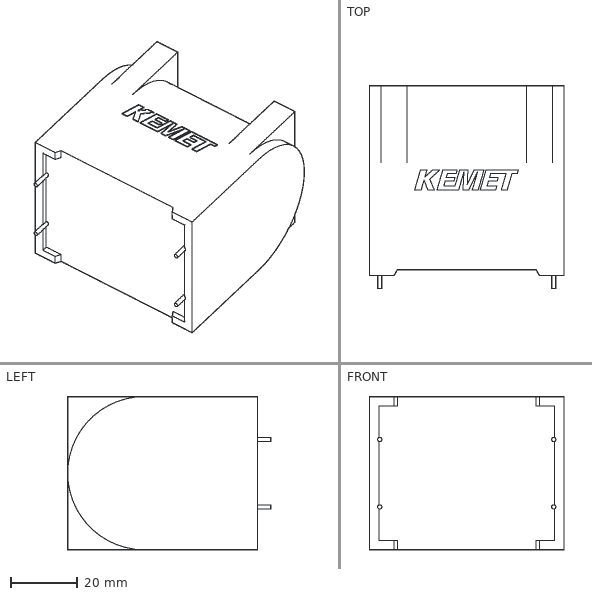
import cadquery as cq
case_width = 58.7
case_length = 57.2
case_height = 46.2
barrel_radius = case_height / 2

rib_offset = 3.55
rib_width = 7.8

frame_wall = 2.9
foot_tip_width = 7.45
foot_root_width = 8.45
standoff = 1.7

pin_diameter = 1.3
pin_length = 4.0
pin_spacing_x = 52.45
pin_spacing_z = 20.3

inlay_depth = 0.3
inlay_y = 25.7
inlay_slant = 0.29
inlay_height = 6.05

lower_arm_top = 1.3
middle_arm_bottom = 2.75
middle_arm_top = 3.8
upper_arm_bottom = 5.1
e_stem = 1.7
e_arm = 4.35


def centred_block(width, y_start, y_end, height):
    """Block centred on X and Z that runs from y_start to y_end."""
    return cq.Workplane("XY").box(width, y_end - y_start, height).translate((0, (y_start + y_end) / 2, 0))


def half_round_relief(x_start, width):
    """Material outside the half-round back of the housing along one stretch of X."""
    axis_y = case_length - barrel_radius
    corner_block = centred_block(width, axis_y, case_length, case_height)
    barrel = cq.Workplane("YZ", origin=(-width / 2, axis_y, 0)).circle(barrel_radius).extrude(width)
    return corner_block.cut(barrel).translate((x_start + width / 2, 0, 0))


def mounting_recess():
    """Space inside the frame together with the tapered openings between the feet."""
    inside = centred_block(case_width - 2 * frame_wall, 0, standoff, case_height - 2 * frame_wall)
    tip_x = case_width / 2 - foot_tip_width
    root_x = case_width / 2 - foot_root_width
    outline = [(-tip_x, 0), (tip_x, 0), (root_x, standoff), (-root_x, standoff)]
    openings = cq.Workplane("XY").polyline(outline).close().extrude(case_height / 2, both=True)
    return inside.union(openings)


def pins():
    """Four round pins that rise from the floor of the recess and pass beyond the feet."""
    return (
        cq.Workplane("XZ", origin=(0, standoff, 0))
        .rarray(pin_spacing_x, pin_spacing_z, 2, 2)
        .circle(pin_diameter / 2)
        .extrude(standoff + pin_length)
    )


def e_inner_edge():
    """Edge of an E between its lower and upper arms, from bottom to top."""
    return [
        (e_stem, lower_arm_top),
        (e_stem, middle_arm_bottom),
        (e_arm, middle_arm_bottom),
        (e_arm, middle_arm_top),
        (e_stem, middle_arm_top),
        (e_stem, upper_arm_bottom),
    ]


def k_outline():
    stem = 1.95
    lower_crotch = (stem, 3.05)
    upper_crotch = (stem, 3.9)
    elbow = (3.6, 3.3)
    leg = [lower_crotch, (4.05, 0), (6.0, 0), elbow]
    arm = [(5.75, inlay_height), (3.6, inlay_height), upper_crotch]
    return [(0, 0), (stem, 0), *leg, *arm, (stem, inlay_height), (0, inlay_height)]


def em_outline():
    """E and M in one piece, with the lower arm of the E running into the M."""
    m_left = 5.1
    m_right = 12.4
    peak_height = 5.55
    left_peak = (6.55, peak_height)
    right_peak = (10.65, peak_height)
    valley = (8.6, 1.8)
    m_underside = [(6.55, 0), left_peak, (7.85, 0), (9.55, 0), right_peak, (10.65, 0), (m_right, 0)]
    m_top = [
        (m_right, inlay_height),
        (9.4, inlay_height),
        valley,
        (7.6, inlay_height),
        (m_left, inlay_height),
    ]
    e_top = [(e_arm, upper_arm_bottom), (e_arm, inlay_height), (0, inlay_height)]
    return [(0, 0), *m_underside, *m_top, (m_left, lower_arm_top), *e_inner_edge(), *e_top]


def et_outline():
    """E and T in one piece, with the upper arm of the E running into the T."""
    lower_arm = 4.65
    t_stem_left = 6.35
    t_stem_right = 8.15
    t_right = 9.75
    e_lower_arm = [(0, 0), (lower_arm, 0), (lower_arm, lower_arm_top)]
    t_stem = [
        (t_stem_left, upper_arm_bottom),
        (t_stem_left, 0),
        (t_stem_right, 0),
        (t_stem_right, upper_arm_bottom),
    ]
    t_top = [(t_right, upper_arm_bottom), (t_right, inlay_height), (0, inlay_height)]
    return [*e_lower_arm, *e_inner_edge(), *t_stem, *t_top]


def make_inlay(x_start, upright_outline):
    """Slanted plate, flush with the +Z face, made from an upright outline."""
    slanted = [(x + inlay_slant * y, y) for x, y in upright_outline]
    floor_z = case_height / 2 - inlay_depth
    plane = cq.Workplane("XY", origin=(x_start, inlay_y, floor_z))
    return plane.polyline(slanted).close().extrude(inlay_depth)


def make_housing(inlays):
    housing = centred_block(case_width, 0, case_length, case_height)
    rib_end = rib_offset + rib_width
    half_width = case_width / 2
    reliefs = [
        (-half_width, rib_offset),
        (rib_end - half_width, case_width - 2 * rib_end),
        (half_width - rib_offset, rib_offset),
    ]
    for x_start, width in reliefs:
        housing = housing.cut(half_round_relief(x_start, width))
    housing = housing.cut(mounting_recess()).union(pins())
    for inlay in inlays:
        housing = housing.cut(inlay)
    return housing


inlay_places = [(-15.7, k_outline()), (-9.0, em_outline()), (4.05, et_outline())]
inlays = [make_inlay(x_start, outline) for x_start, outline in inlay_places]
housing = make_housing(inlays)

result = cq.Compound.makeCompound([*housing.solids().vals(), *[inlay.val() for inlay in inlays]])